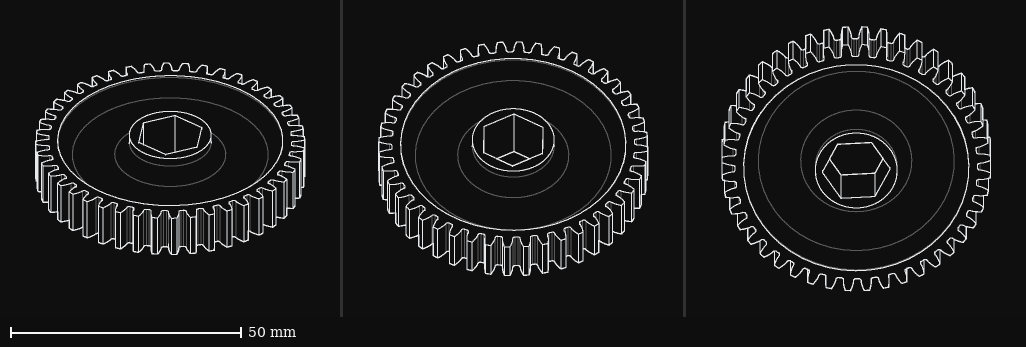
import cadquery as cq
import math

INCH = 25.4
TOOTH_COUNT = 44
DIAMETRAL_PITCH = 20
MODULE = INCH / DIAMETRAL_PITCH
PRESSURE_ANGLE = math.radians(14.5)
PITCH_RADIUS = MODULE * TOOTH_COUNT / 2
BASE_RADIUS = PITCH_RADIUS * math.cos(PRESSURE_ANGLE)
TIP_RADIUS = PITCH_RADIUS + MODULE
DEDENDUM_FACTOR = 1.25
ROOT_RADIUS = PITCH_RADIUS - DEDENDUM_FACTOR * MODULE
ROOT_FILLET = 0.5
FLANK_POINTS = 8
TOOTH_PITCH_ANGLE = 2 * math.pi / TOOTH_COUNT

HUB_LENGTH = 12.65
FACE_WIDTH = 9.65
WALL_DEPTH = 0.5
RECESS_FILLET = INCH / 8
RECESS_DEPTH = WALL_DEPTH + RECESS_FILLET

RIM_INNER_RADIUS = 24.45
HUB_RADIUS = 0.35 * INCH
HEX_ACROSS_FLATS = 12.8
HEX_SIDES = 6


def polar(radius, angle):
    return (radius * math.cos(angle), radius * math.sin(angle))


def half_gap_angle(radius):
    """Half the angle of a tooth gap, measured between its flanks at a radius.

    The flanks are involutes above the base circle and radial below it.
    """
    roll = math.acos(min(1.0, BASE_RADIUS / radius))
    involute_here = math.tan(roll) - roll
    involute_at_pitch = math.tan(PRESSURE_ANGLE) - PRESSURE_ANGLE
    return TOOTH_PITCH_ANGLE / 4 - involute_at_pitch + involute_here


def tooth_gap():
    """Cutter for one tooth gap, centred on the +X axis."""
    flank_step = (TIP_RADIUS - ROOT_RADIUS) / (FLANK_POINTS - 1)
    flank_radii = [ROOT_RADIUS + flank_step * i for i in range(FLANK_POINTS)]
    right_flank = [polar(r, -half_gap_angle(r)) for r in flank_radii]
    left_flank = [polar(r, half_gap_angle(r)) for r in reversed(flank_radii)]
    outer_radius = TIP_RADIUS + MODULE
    tip_half_angle = half_gap_angle(TIP_RADIUS)
    gap = (
        cq.Workplane("XY")
        .workplane(offset=-FACE_WIDTH / 2)
        .moveTo(*right_flank[0])
        .spline(right_flank[1:], includeCurrent=True)
        .lineTo(*polar(outer_radius, -tip_half_angle))
        .lineTo(*polar(outer_radius, tip_half_angle))
        .lineTo(*left_flank[0])
        .spline(left_flank[1:], includeCurrent=True)
        .threePointArc((ROOT_RADIUS, 0), right_flank[0])
        .close()
        .extrude(FACE_WIDTH)
    )
    root_corners = cq.selectors.BoxSelector(
        (ROOT_RADIUS - ROOT_FILLET, -MODULE, -FACE_WIDTH),
        (ROOT_RADIUS + ROOT_FILLET / 2, MODULE, FACE_WIDTH),
    )
    return gap.edges("|Z").edges(root_corners).fillet(ROOT_FILLET)


def toothed_disc():
    disc = cq.Workplane("XY").circle(TIP_RADIUS).extrude(FACE_WIDTH / 2, both=True)
    gap = tooth_gap().val()
    gaps = []
    for i in range(TOOTH_COUNT):
        angle = math.degrees(i * TOOTH_PITCH_ANGLE)
        gaps.append(gap.rotate((0, 0, 0), (0, 0, 1), angle))
    return cq.Workplane(disc.val().cut(*gaps))


def upper_recess():
    """Ring-shaped recess in the upper face, filleted into the rim and the hub."""
    top = FACE_WIDTH / 2
    floor = top - RECESS_DEPTH
    wall_end = top - WALL_DEPTH
    bulge = RECESS_FILLET * (1 - math.sqrt(0.5))
    return (
        cq.Workplane("XZ")
        .moveTo(HUB_RADIUS, top)
        .lineTo(HUB_RADIUS, wall_end)
        .threePointArc((HUB_RADIUS + bulge, floor + bulge), (HUB_RADIUS + RECESS_FILLET, floor))
        .lineTo(RIM_INNER_RADIUS - RECESS_FILLET, floor)
        .threePointArc((RIM_INNER_RADIUS - bulge, floor + bulge), (RIM_INNER_RADIUS, wall_end))
        .lineTo(RIM_INNER_RADIUS, top)
        .close()
        .revolve(360, (0, 0, 0), (0, 1, 0))
    )


def hub():
    return cq.Workplane("XY").circle(HUB_RADIUS).extrude(HUB_LENGTH / 2, both=True)


def hex_bore():
    """Hexagonal through bore with flats facing +X and -X."""
    across_corners = HEX_ACROSS_FLATS / math.cos(math.pi / HEX_SIDES)
    hexagon = cq.Workplane("XY").polygon(HEX_SIDES, across_corners)
    return hexagon.extrude(HUB_LENGTH / 2, both=True).rotate((0, 0, 0), (0, 0, 1), 180 / HEX_SIDES)


recess = upper_recess()
blank = toothed_disc().cut(recess).cut(recess.mirror("XY"))
result = blank.union(hub()).cut(hex_bore())